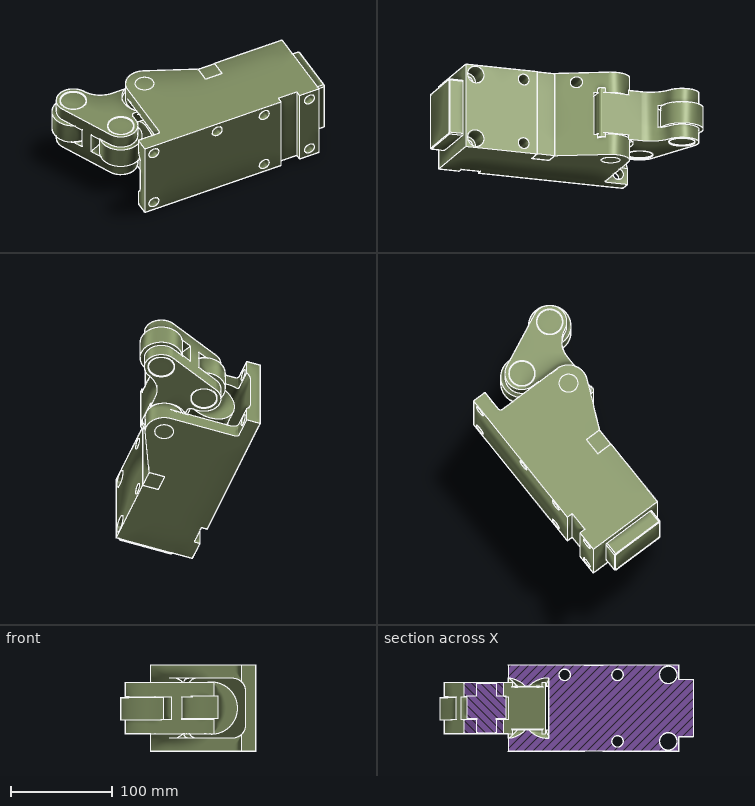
import cadquery as cq
import math


half_height = 42.5
wall_right = 85.0
wall_left = 5.0
rear_end = 149.5
arm_radius = 18.7
arm_front = -arm_radius
flange_front = -43.0
flange_left = 70.7
flange_fillet = 2.7
slope_top = 56.5

key_slot_depth = 6.0
key_slot_front = 107.7
key_slot_rear = 128.0

step_right = 21.5
step_rear = 74.7
step_depth = 0.2

cap_length = 14.5
cap_width = 56.7
cap_center_x = 41.0
cap_side_chamfer = 1.5
cap_end_chamfer = 0.7

cavity_half_height = 29.5
cavity_right = 75.0
cavity_left = -25.0
cavity_corner = 13.0
cavity_rear = 21.2
boss_half_gap = 21.5
boss_fillet = cavity_half_height - boss_half_gap
flare_front = -17.5

plunger_radius = 25.7
plunger_x = 41.2
plunger_front = -18.5
plunger_flat_x = 21.7

hole_z = 32.7
hole_radius = 5.5
rear_hole_y = 139.0
middle_hole_y = 89.0
slope_hole_y = 37.0
flange_hole_y = -33.0
counterbore_radius = 8.5
counterbore_depth = 25.0

pivot_radius = 9.2
lever_half_height = 25.2
lever_left = -18.7
lever_right = 16.7
lever_rear = 18.2
lever_corner = 3.0
lever_bend_y = -26.0
lever_end_radius = 16.7
lever_notch_fillet = 3.5
hub_recess_radius = 22.2
hub_recess_z = 20.7

roller_radius = 21.0
roller_half_width = 11.0
roller_offset_z = 0.7
outer_roller = (-27.0, -65.0)
inner_roller = (27.0, -40.0)
pocket_radius = 24.0
pocket_half_width = 11.0
axle_radius = 13.0
axle_recess = 0.7
axle_chamfer = 0.5


def z_cylinder(center, radius, bottom, top):
    return cq.Workplane("XY", origin=(center[0], center[1], bottom)).circle(radius).extrude(top - bottom)


def block(left, right, front, rear, bottom, top):
    size = (right - left, rear - front, top - bottom)
    return cq.Workplane("XY", origin=(left, front, bottom)).box(*size, centered=False)


def x_cylinder(y, z, radius, left, right):
    return cq.Workplane("YZ", origin=(left, y, z)).circle(radius).extrude(right - left)


def housing_outline():
    """Solid block of the housing, tangent from the sloped face into the arm ends."""
    corner_distance = math.hypot(wall_left, slope_top)
    corner_angle = math.atan2(slope_top, wall_left)
    tangent_angle = corner_angle + math.acos(arm_radius / corner_distance)
    mid_angle = (tangent_angle + 1.5 * math.pi) / 2

    def on_arm(angle):
        return arm_radius * math.cos(angle), arm_radius * math.sin(angle)

    profile = (
        cq.Workplane("XY", origin=(0, 0, -half_height))
        .moveTo(wall_right, rear_end)
        .lineTo(wall_left, rear_end)
        .lineTo(wall_left, slope_top)
        .lineTo(*on_arm(tangent_angle))
        .threePointArc(on_arm(mid_angle), (0, arm_front))
        .lineTo(flange_left, arm_front)
        .lineTo(flange_left, flange_front)
        .lineTo(wall_right, flange_front)
        .close()
        .extrude(2 * half_height)
    )
    inner_corner = cq.selectors.NearestToPointSelector((flange_left, arm_front, 0))
    return profile.edges(inner_corner).fillet(flange_fillet)


def cavity():
    """Space between the arms, rounded along the mounting wall, less the arm bosses."""
    space = block(
        cavity_left, cavity_right,
        flange_front, cavity_rear,
        -cavity_half_height, cavity_half_height,
    )
    space = space.edges("|Y and >X").fillet(cavity_corner)
    for side in (1, -1):
        space = space.cut(arm_boss(side))
    return space


def arm_boss(side):
    """Boss on the inside of one arm, flared by a fillet that is cut back at the front."""
    flare_radius = arm_radius + boss_fillet
    bend = boss_fillet * (1 - math.sqrt(0.5))
    flare = (
        cq.Workplane("XZ")
        .moveTo(0, side * boss_half_gap)
        .lineTo(arm_radius, side * boss_half_gap)
        .threePointArc(
            (arm_radius + bend, side * (cavity_half_height - bend)),
            (flare_radius, side * cavity_half_height),
        )
        .lineTo(0, side * cavity_half_height)
        .close()
        .revolve(360, (0, 0), (0, 1))
    )
    low, high = sorted((side * boss_half_gap, side * cavity_half_height))
    flare_limits = (
        cq.Workplane("YZ")
        .moveTo(flare_front, side * cavity_half_height)
        .lineTo(flare_front + boss_fillet, side * boss_half_gap)
        .lineTo(cavity_rear, side * boss_half_gap)
        .lineTo(cavity_rear, side * cavity_half_height)
        .close()
        .extrude(flare_radius)
    )
    flare = flare.intersect(flare_limits)
    boss = z_cylinder((0, 0), arm_radius, low, high).union(flare)
    return boss.union(block(cavity_left, 0, 0, cavity_rear, low, high))


def plunger():
    """Round plunger standing out of the cavity's rear wall, flattened beside the lever."""
    rod = (
        cq.Workplane("XZ", origin=(plunger_x, cavity_rear, 0))
        .circle(plunger_radius)
        .extrude(cavity_rear - plunger_front)
    )
    flat = block(0, plunger_flat_x, plunger_front, cavity_rear, -half_height, half_height)
    return rod.cut(flat)


def rear_cap():
    cap = block(
        cap_center_x - cap_width / 2, cap_center_x + cap_width / 2,
        rear_end, rear_end + cap_length,
        -cap_width / 2, cap_width / 2,
    )
    return cap.edges("|Y").chamfer(cap_side_chamfer).faces(">Y").chamfer(cap_end_chamfer)


def key_slot():
    slot_bottom = wall_right - key_slot_depth
    return block(slot_bottom, wall_right, key_slot_front, key_slot_rear, -half_height, half_height)


def shallow_step():
    """Thin layer taken off the left, top and bottom faces just behind the sloped face."""
    layer = block(wall_left, step_right, slope_top, step_rear, -half_height, half_height)
    core_left = wall_left + step_depth
    core_height = half_height - step_depth
    return layer.cut(block(core_left, step_right, slope_top, step_rear, -core_height, core_height))


def make_housing():
    body = housing_outline().cut(cavity()).union(plunger()).union(rear_cap())
    body = body.cut(key_slot())
    body = body.cut(shallow_step())
    counterbore_end = wall_left + counterbore_depth
    for z in (-hole_z, hole_z):
        for y in (rear_hole_y, middle_hole_y, flange_hole_y):
            body = body.cut(x_cylinder(y, z, hole_radius, wall_left, wall_right))
        body = body.cut(x_cylinder(rear_hole_y, z, counterbore_radius, wall_left, counterbore_end))
    body = body.cut(x_cylinder(slope_hole_y, hole_z, hole_radius, arm_front, wall_right))
    return body.cut(z_cylinder((0, 0), pivot_radius, -half_height, half_height))


axle_span = math.dist(outer_roller, inner_roller)
along = ((inner_roller[0] - outer_roller[0]) / axle_span, (inner_roller[1] - outer_roller[1]) / axle_span)
outward = (along[1], -along[0])


def shifted(point, direction, distance):
    return point[0] + direction[0] * distance, point[1] + direction[1] * distance


def lever_plate():
    """Lever outline: pivot end, concave left side and a round end about each axle."""
    reach = outer_roller[0] - lever_left
    rise = lever_bend_y - outer_roller[1]
    bend_radius = (reach**2 + rise**2 - lever_end_radius**2) / (2 * (lever_end_radius - reach))
    bend_center = (lever_left - bend_radius, lever_bend_y)
    toward_bend = math.atan2(bend_center[1] - outer_roller[1], bend_center[0] - outer_roller[0])

    def on_outer_end(angle):
        return shifted(outer_roller, (math.cos(angle), math.sin(angle)), lever_end_radius)

    def on_bend(angle):
        return shifted(bend_center, (math.cos(angle), math.sin(angle)), bend_radius)

    inner_top = inner_roller[1] + lever_end_radius
    plate = (
        cq.Workplane("XY", origin=(0, 0, -lever_half_height))
        .moveTo(lever_right, lever_rear)
        .lineTo(lever_left, lever_rear)
        .lineTo(lever_left, lever_bend_y)
        .threePointArc(on_bend((toward_bend - math.pi) / 2), on_outer_end(toward_bend))
        .threePointArc(on_outer_end(math.pi), shifted(outer_roller, outward, lever_end_radius))
        .lineTo(*shifted(inner_roller, outward, lever_end_radius))
        .threePointArc((inner_roller[0] + lever_end_radius, inner_roller[1]), (inner_roller[0], inner_top))
        .lineTo(lever_right, inner_top)
        .close()
        .extrude(2 * lever_half_height)
    )
    plate = plate.edges("|Z and >Y").fillet(lever_corner)
    notch = cq.selectors.NearestToPointSelector((lever_right, inner_top, 0))
    return plate.edges(notch).fillet(lever_notch_fillet)


def roller_pocket(center):
    """Pocket around a roller, open away from the pivot."""
    base = (center[0], center[1], -pocket_half_width)
    mouth = cq.Workplane(cq.Plane(base, xDir=(*outward, 0)))
    length = 2 * pocket_radius
    mouth = mouth.center(length / 2, 0).rect(length, 2 * pocket_radius).extrude(2 * pocket_half_width)
    return mouth.union(z_cylinder(center, pocket_radius, -pocket_half_width, pocket_half_width))


def make_lever(rollers):
    lever = lever_plate()
    for low in (-lever_half_height, hub_recess_z):
        high = low + lever_half_height - hub_recess_z
        lever = lever.cut(z_cylinder((0, 0), hub_recess_radius, low, high))
    for center in (outer_roller, inner_roller):
        lever = lever.cut(roller_pocket(center))
        lever = lever.cut(z_cylinder(center, axle_radius, -lever_half_height, lever_half_height))
    for roller in rollers:
        lever = lever.cut(roller)
    return lever.union(z_cylinder((0, 0), pivot_radius, -half_height, half_height))


def make_roller(center, offset):
    """Roller with its axle, whose ends lie a little below the lever faces."""
    axle_end = lever_half_height - axle_recess
    axle = z_cylinder(center, axle_radius, -axle_end, axle_end).faces("|Z").chamfer(axle_chamfer)
    rim = z_cylinder(center, roller_radius, offset - roller_half_width, offset + roller_half_width)
    return axle.union(rim)


rollers = []
for place, offset in ((outer_roller, -roller_offset_z), (inner_roller, roller_offset_z)):
    rollers.append(make_roller(place, offset))
housing = make_housing()
lever = make_lever(rollers)

result = cq.Compound.makeCompound([housing.val(), lever.val(), *[roller.val() for roller in rollers]])